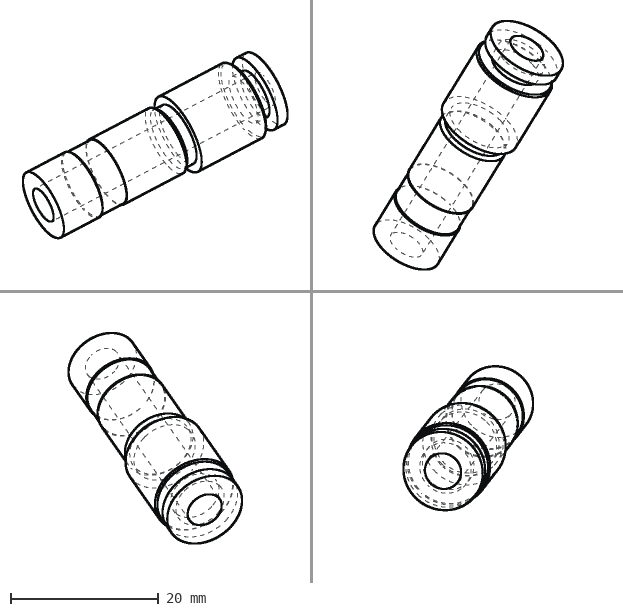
import cadquery as cq

TOTAL_LENGTH = 36.2
BORE_DIAMETER = 5.0

PLUG_DIAMETER = 10.0
TIP_LENGTH = 6.3
BAND_DIAMETER = 9.75
BAND_TAPER_LENGTH = (PLUG_DIAMETER - BAND_DIAMETER) / 2
BAND_END = 10.3
SHANK_END = 20.5

NECK_DIAMETER = 9.0
NECK_LENGTH = 1.5
SHANK_CHAMFER = (PLUG_DIAMETER - NECK_DIAMETER) / 2

BODY_DIAMETER = 11.5
BODY_LENGTH = 10.7
BODY_CHAMFER = 0.25

SLEEVE_DIAMETER = 7.1
FLANGE_DIAMETER = 11.0
FLANGE_THICKNESS = 1.65

CENTRE = (0, 0, 0)
AXIS_POINT = (0, 1, 0)


def outer_profile():
    """Radius and Y position of each corner of the outside, from the plug end."""
    plug_radius = PLUG_DIAMETER / 2
    band_radius = BAND_DIAMETER / 2
    neck_radius = NECK_DIAMETER / 2
    body_radius = BODY_DIAMETER / 2
    sleeve_radius = SLEEVE_DIAMETER / 2
    flange_radius = FLANGE_DIAMETER / 2

    body_start = SHANK_END + NECK_LENGTH
    body_end = body_start + BODY_LENGTH
    flange_start = TOTAL_LENGTH - FLANGE_THICKNESS

    stem = [
        (plug_radius, 0),
        (plug_radius, TIP_LENGTH),
        (band_radius, TIP_LENGTH + BAND_TAPER_LENGTH),
        (band_radius, BAND_END),
        (plug_radius, BAND_END),
        (plug_radius, SHANK_END - SHANK_CHAMFER),
        (neck_radius, SHANK_END),
    ]
    body = [
        (neck_radius, body_start),
        (body_radius, body_start),
        (body_radius, body_end - BODY_CHAMFER),
        (body_radius - BODY_CHAMFER, body_end),
    ]
    collar = [
        (sleeve_radius, body_end),
        (sleeve_radius, flange_start),
        (flange_radius, flange_start),
        (flange_radius, TOTAL_LENGTH),
    ]
    return stem + body + collar


def fitting():
    """Revolve the wall section about Y, with the plug end at Y = 0."""
    bore_radius = BORE_DIAMETER / 2
    bore_line = [(bore_radius, TOTAL_LENGTH), (bore_radius, 0)]
    section = cq.Workplane("XY").polyline(outer_profile() + bore_line).close()
    return section.revolve(360, CENTRE, AXIS_POINT)


result = fitting()